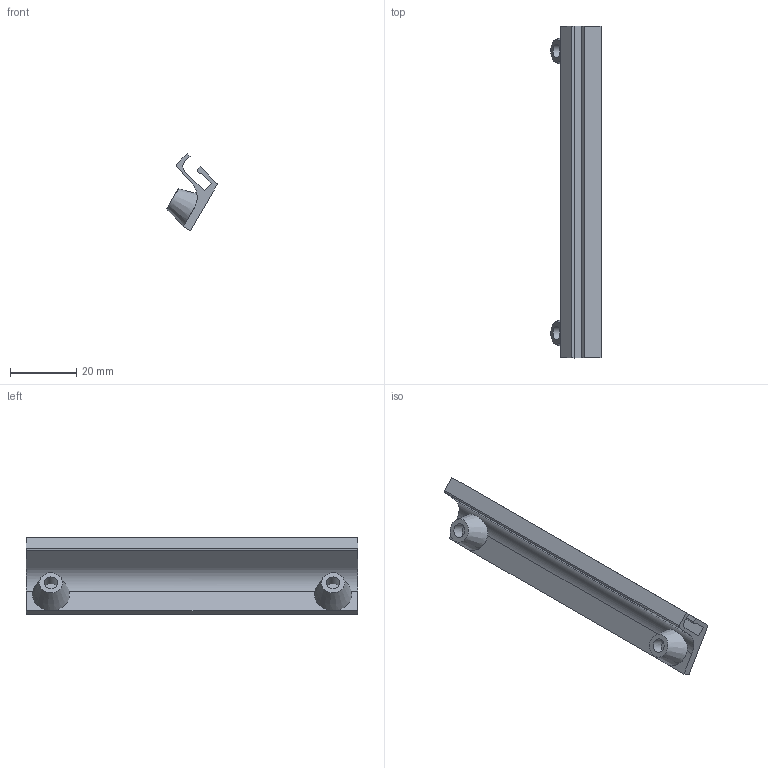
import cadquery as cq
import math

RAIL_LENGTH = 100.0

PLATE_LEAN = 60.0
PLATE_THICKNESS = 2.5

CLIP_ANGLE = 45.0
CHANNEL_FLOOR = 5.75
CHANNEL_WIDTH = 3.0
BACK_WALL_FACE = 11.5
ARM_THICKNESS = 1.2
ARM_TIP = 11.6
HOOK_FACE = 15.95
HOOK_THICKNESS = 1.2
BACK_WALL_TOP_THICKNESS = 0.8
BACK_WALL_TAPER = 3.0

BEAD_CHORD = 1.6
BEAD_HEIGHT = 0.4

PLATE_FOOT_RADIUS = 0.3
PLATE_CORNER_RADIUS = 0.4
HOOK_OUTER_RADIUS = 0.5
HOOK_INNER_RADIUS = 2.0
WALL_TO_PLATE_RADIUS = 6.0

BOSS_TOP_DIAMETER = 7.0
BOSS_BASE_DIAMETER = 11.2
BOSS_HEIGHT = 7.0
BOSS_END_DISTANCE = 7.5
BOSS_FROM_FOOT = BOSS_BASE_DIAMETER / 2
HOLE_DIAMETER = 4.1
HOLE_DEPTH = 4.0


def unit(angle):
    return (math.cos(math.radians(angle)), math.sin(math.radians(angle)))


def in_frame(along, across, angle):
    """XZ point "along" in the direction of angle and "across" 90 degrees to its left."""
    c, s = unit(angle)
    return (along * c - across * s, along * s + across * c)


def plate_point(along, height):
    return in_frame(along, height, PLATE_LEAN)


def clip_point(depth, width):
    return in_frame(width, depth, CLIP_ANGLE)


def crossing(point_a, angle_a, point_b, angle_b):
    """Point where two lines, each given by a point and a direction, meet."""
    ax, az = unit(angle_a)
    bx, bz = unit(angle_b)
    dx = point_b[0] - point_a[0]
    dz = point_b[1] - point_a[1]
    distance = (dx * bz - dz * bx) / (ax * bz - az * bx)
    return (point_a[0] + distance * ax, point_a[1] + distance * az)


def make_rail():
    arm_inner = BACK_WALL_FACE + CHANNEL_WIDTH
    arm_outer = arm_inner + ARM_THICKNESS
    hook_outer = HOOK_FACE + HOOK_THICKNESS
    bead_start = ARM_TIP - BEAD_CHORD

    foot_inner = plate_point(0, PLATE_THICKNESS)
    plate_corner = crossing((0, 0), PLATE_LEAN, clip_point(0, arm_outer), CLIP_ANGLE + 90)
    hook_corner = clip_point(hook_outer, BACK_WALL_FACE - BACK_WALL_TOP_THICKNESS)
    wall_root = crossing(foot_inner, PLATE_LEAN, hook_corner, CLIP_ANGLE + 90 - BACK_WALL_TAPER)
    hook_inner_corner = clip_point(HOOK_FACE, BACK_WALL_FACE)

    rail = (
        cq.Workplane("XZ", origin=(0, RAIL_LENGTH / 2, 0))
        .moveTo(0, 0)
        .lineTo(*plate_corner)
        .lineTo(*clip_point(ARM_TIP, arm_outer))
        .lineTo(*clip_point(ARM_TIP, arm_inner))
        .threePointArc(
            clip_point(ARM_TIP - BEAD_CHORD / 2, arm_inner - BEAD_HEIGHT),
            clip_point(bead_start, arm_inner),
        )
        .lineTo(*clip_point(CHANNEL_FLOOR, arm_inner))
        .lineTo(*clip_point(CHANNEL_FLOOR, BACK_WALL_FACE))
        .lineTo(*hook_inner_corner)
        .lineTo(*clip_point(HOOK_FACE, arm_outer))
        .lineTo(*clip_point(hook_outer, arm_outer))
        .lineTo(*hook_corner)
        .lineTo(*wall_root)
        .lineTo(*foot_inner)
        .close()
        .extrude(RAIL_LENGTH)
    )
    rail = round_edge(rail, (0, 0), PLATE_FOOT_RADIUS)
    rail = round_edge(rail, plate_corner, PLATE_CORNER_RADIUS)
    rail = round_edge(rail, hook_corner, HOOK_OUTER_RADIUS)
    rail = round_edge(rail, hook_inner_corner, HOOK_INNER_RADIUS)
    return round_edge(rail, wall_root, WALL_TO_PLATE_RADIUS)


def round_edge(body, corner, radius):
    """Fillet the lengthwise edge that runs through the given profile corner."""
    edge = cq.selectors.NearestToPointSelector((corner[0], 0, corner[1]))
    return body.edges("|Y").edges(edge).fillet(radius)


def boss_plane(y, height):
    """Plane parallel to the plate, centred on a boss, facing away from the plate."""
    x, z = plate_point(BOSS_FROM_FOOT, height)
    nx, nz = unit(PLATE_LEAN + 90)
    return cq.Plane(origin=(x, y, z), xDir=(0, 1, 0), normal=(nx, 0, nz))


def make_boss(y):
    return (
        cq.Workplane(boss_plane(y, PLATE_THICKNESS))
        .circle(BOSS_BASE_DIAMETER / 2)
        .workplane(offset=BOSS_HEIGHT)
        .circle(BOSS_TOP_DIAMETER / 2)
        .loft()
    )


def make_hole(y):
    top = PLATE_THICKNESS + BOSS_HEIGHT
    return cq.Workplane(boss_plane(y, top)).circle(HOLE_DIAMETER / 2).extrude(-HOLE_DEPTH)


result = make_rail()
boss_offset = RAIL_LENGTH / 2 - BOSS_END_DISTANCE
for boss_y in (-boss_offset, boss_offset):
    result = result.union(make_boss(boss_y)).cut(make_hole(boss_y))